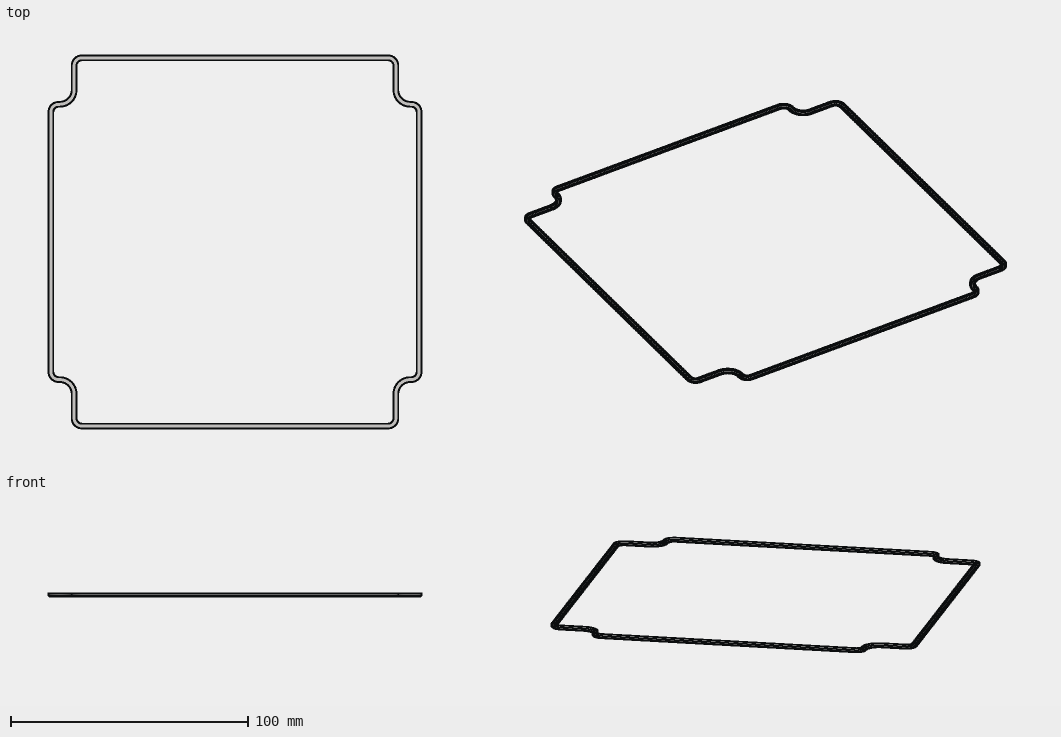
import cadquery as cq

outer_size = 157.47
thickness = 1.5
strip_width = 2.12
bottom_chamfer = 0.6

notch_x = 9.8
notch_y = 19.6

convex_radius = 4.35
concave_radius = 5.0

selection_margin = 0.1


def rounded_plate(size_x, size_y, corner_radius):
    """Centred rectangular plate with rounded upright corners."""
    plate = cq.Workplane("XY").rect(size_x, size_y).extrude(thickness)
    return plate.edges("|Z").fillet(corner_radius)


def notched_plate(inset):
    """Square plate with notched, rounded corners, offset inward by the inset."""
    size = outer_size - 2 * inset
    narrow_x = size - 2 * notch_x
    short_y = size - 2 * notch_y
    tip_radius = convex_radius - inset
    root_radius = concave_radius + inset

    tall_plate = rounded_plate(narrow_x, size, tip_radius)
    wide_plate = rounded_plate(size, short_y, tip_radius)
    plate = tall_plate.union(wide_plate)

    limit = (narrow_x / 2 + selection_margin, short_y / 2 + selection_margin, thickness)
    opposite_limit = tuple(-coordinate for coordinate in limit)
    roots = cq.selectors.BoxSelector(opposite_limit, limit)
    return plate.edges("|Z").edges(roots).fillet(root_radius)


def gasket():
    """Constant-width strip following the notched outline, narrowed underneath."""
    strip = notched_plate(0).cut(notched_plate(strip_width))
    return strip.faces("<Z").edges().chamfer(bottom_chamfer)


result = gasket()